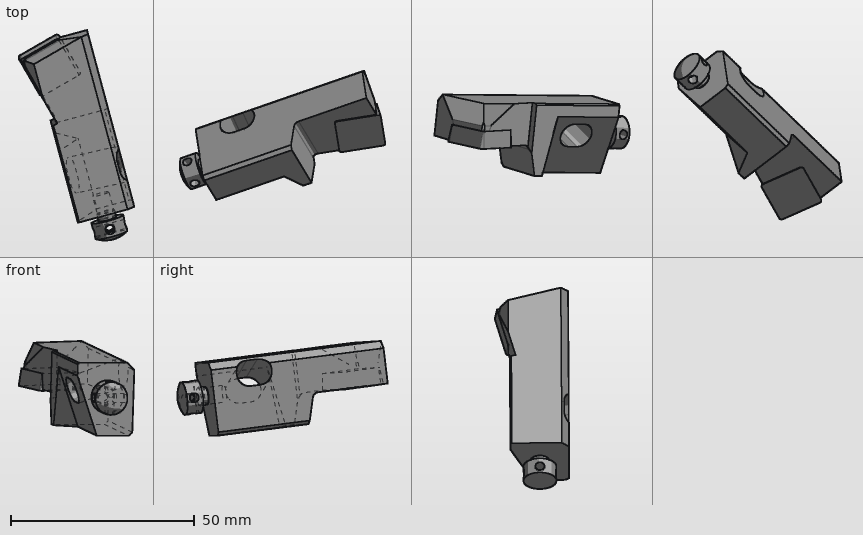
import cadquery as cq
import math



def tan_deg(angle):
    return math.tan(math.radians(angle))


def cos_deg(angle):
    return math.cos(math.radians(angle))


def sin_deg(angle):
    return math.sin(math.radians(angle))


pitch = 7.0
yaw = 15.0

width = 16.0
length = 49.0
height = 20.0
top_right_chamfer = 2.0
top_left_chamfer = 0.42
bottom_right_chamfer = 1.0
oversize = 60.0

head_bottom = 8.3
step_foot = 25.7
step_angle = 15.0
step_fillet = 1.5
step_top = step_foot + head_bottom * tan_deg(step_angle)

insert_turn = 15.0
insert_side = 12.7
insert_thickness = 4.76
insert_corner_radius = 0.8
insert_clearance = 7.0
insert_left = 8.1
insert_front = 46.3
insert_bottom = 8.0

left_flank_break_z = 14.3
front_flank_break_z = 14.2
left_flank_top = -0.39
left_flank_angle = 21.8
front_flank_top = 43.7
front_flank_angle = 14.5
nose_chamfer = 0.4
left_flank_break = left_flank_top - (height - left_flank_break_z) * tan_deg(left_flank_angle)
front_flank_break = front_flank_top + (height - front_flank_break_z) * tan_deg(front_flank_angle)
left_flank_foot = left_flank_break - (left_flank_break_z - head_bottom) * tan_deg(insert_clearance)
front_flank_foot = front_flank_break + (front_flank_break_z - head_bottom) * tan_deg(insert_clearance)

relief_wall = 8.7
relief_end = 26.45

recess_top = 16.43
recess_angle = 20.0
recess_length = 19.95
recess_end_foot = 23.25
recess_depth = recess_top * tan_deg(recess_angle)
slot_width = 7.0
slot_length = 10.0
slot_y = 12.0
slot_z = 11.0

screw_x = width / 2
screw_z = 11.0
collar_diameter = 5.0
collar_chamfer = 0.2
shank_depth = 5.0
head_diameter = 9.0
collar_length = 2.2
head_rim = 6.65
dome_height = 1.32
cross_hole_diameter = 2.5
cross_hole_distance = 4.65


def turn(shape):
    """Turn a shape from the insert axes onto the holder axes."""
    return shape.rotate((0, 0, 0), (0, 0, 1), insert_turn)


def make_block():
    """Block with the step under the head, its fillet and its long chamfers."""
    block = (
        cq.Workplane("YZ")
        .polyline([
            (0, 0),
            (step_foot, 0),
            (step_top, head_bottom),
            (length, head_bottom),
            (length, height),
            (0, height),
        ])
        .close()
        .extrude(width)
    )
    step_corner = cq.NearestToPointSelector((width / 2, step_top, head_bottom))
    block = block.edges(step_corner).fillet(step_fillet)
    block = block.edges(">X and >Z").chamfer(top_right_chamfer)
    block = block.edges("<X and >Z").chamfer(top_left_chamfer)
    return block.edges(">X and <Z").chamfer(bottom_right_chamfer)


def make_left_flank():
    """Part of the head that widens downwards past the left side of the block."""
    return (
        cq.Workplane("XZ", origin=(0, length, 0))
        .polyline([
            (top_right_chamfer, height),
            (left_flank_top, height),
            (left_flank_break, left_flank_break_z),
            (left_flank_foot, head_bottom),
            (top_right_chamfer, head_bottom),
        ])
        .close()
        .extrude(length - step_top)
    )


def make_front_cut():
    """Material ahead of the sloping front flank."""
    outline = (
        cq.Workplane("YZ", origin=(-oversize, 0, 0))
        .polyline([
            (front_flank_top, height),
            (front_flank_break, front_flank_break_z),
            (front_flank_foot, head_bottom),
            (front_flank_foot, 0),
            (front_flank_top + oversize, 0),
            (front_flank_top + oversize, height),
        ])
        .close()
    )
    return turn(outline.extrude(2 * oversize))


def make_nose_cut():
    """Sloping chamfer on the corner between the left and front flanks."""
    corner_x = left_flank_break
    corner_y = (front_flank_break + corner_x * sin_deg(insert_turn)) / cos_deg(insert_turn)
    heading = (180 + 90 + insert_turn) / 2
    half_turn = (180 - 90 - insert_turn) / 2
    inset = nose_chamfer * sin_deg(half_turn)
    face = cq.Plane(
        origin=(
            corner_x - inset * cos_deg(heading),
            corner_y - inset * sin_deg(heading),
            front_flank_break_z,
        ),
        xDir=(-sin_deg(heading), cos_deg(heading), 0),
        normal=(
            cos_deg(heading) * cos_deg(insert_clearance),
            sin_deg(heading) * cos_deg(insert_clearance),
            sin_deg(insert_clearance),
        ),
    )
    return cq.Workplane(face).rect(width, 2 * height).extrude(width)


def make_relief():
    """Corner cleared out of the left side, behind and along the insert."""
    relief = cq.Workplane("XY").box(oversize, oversize, height, centered=False)
    return turn(relief.translate((relief_wall - oversize, relief_end, 0)))


def make_recess():
    """Wedge with an inclined floor and a sloping triangular end."""
    rear_top = (0, 0, recess_top)
    rear_outer = (0, 0, 0)
    rear_inner = (recess_depth, 0, 0)
    end_top = (0, recess_length, recess_top)
    end_outer = (0, recess_end_foot, 0)
    end_inner = (recess_depth, recess_length, 0)
    rings = [
        (rear_top, rear_outer, rear_inner),
        (end_top, end_outer, end_inner),
        (rear_top, rear_outer, end_outer, end_top),
        (rear_outer, rear_inner, end_inner, end_outer),
        (rear_top, rear_inner, end_inner, end_top),
    ]
    faces = []
    for ring in rings:
        boundary = cq.Wire.makePolygon([cq.Vector(*point) for point in ring], close=True)
        faces.append(cq.Face.makeFromWires(boundary))
    return cq.Workplane(obj=cq.Solid.makeSolid(cq.Shell.makeShell(faces)))


def make_slot():
    """Slotted hole square to the recess floor, right through the holder."""
    floor_x = (recess_top - slot_z) * tan_deg(recess_angle)
    floor = cq.Plane(
        origin=(floor_x, slot_y, slot_z),
        xDir=(0, 1, 0),
        normal=(cos_deg(recess_angle), 0, sin_deg(recess_angle)),
    )
    return cq.Workplane(floor).slot2D(slot_length, slot_width).extrude(oversize, both=True)


def make_insert():
    """Square insert with rounded corners and flanks that taper upwards."""
    return turn(
        cq.Workplane("XY")
        .sketch()
        .rect(insert_side, insert_side)
        .vertices()
        .fillet(insert_corner_radius)
        .finalize()
        .extrude(insert_thickness, taper=insert_clearance)
        .translate((insert_left + insert_side / 2, insert_front - insert_side / 2, insert_bottom))
    )


def make_screw():
    """Domed screw with two crossed tommy-bar holes through its head."""
    collar_radius = collar_diameter / 2
    shank_radius = collar_radius - collar_chamfer
    head_radius = head_diameter / 2
    dome_radius = (head_radius**2 + dome_height**2) / (2 * dome_height)
    dome_centre = -head_rim - dome_height + dome_radius
    half_angle = math.degrees(math.asin(head_radius / dome_radius)) / 2
    screw = (
        cq.Workplane("XY")
        .moveTo(0, shank_depth)
        .lineTo(shank_radius, shank_depth)
        .lineTo(shank_radius, 0)
        .lineTo(collar_radius, -collar_chamfer)
        .lineTo(collar_radius, -collar_length)
        .lineTo(head_radius, -collar_length)
        .lineTo(head_radius, -head_rim)
        .threePointArc(
            (dome_radius * sin_deg(half_angle), dome_centre - dome_radius * cos_deg(half_angle)),
            (0, -head_rim - dome_height),
        )
        .close()
        .revolve(360, (0, 0, 0), (0, 1, 0))
    )
    for plane in ("XY", "YZ"):
        cross_hole = (
            cq.Workplane(plane, origin=(0, -cross_hole_distance, 0))
            .circle(cross_hole_diameter / 2)
            .extrude(head_diameter, both=True)
        )
        screw = screw.cut(cross_hole)
    return screw.translate((screw_x, 0, screw_z))


def make_holder(insert, screw):
    """Holder with seats that match the insert and the screw."""
    holder = make_block().union(make_left_flank())
    for cutter in (make_front_cut(), make_nose_cut(), make_relief(), make_recess(), make_slot()):
        holder = holder.cut(cutter)
    return holder.cut(insert).cut(screw)


def tilt(body):
    """Bring a body from the holder's frame into its mounted attitude."""
    pitched = body.rotate((0, 0, 0), (1, 0, 0), pitch)
    return pitched.rotate((0, 0, 0), (0, 0, 1), yaw)


insert = make_insert()
screw = make_screw()
holder = make_holder(insert, screw)

result = cq.Compound.makeCompound([
    *tilt(holder).solids().vals(),
    *tilt(insert).solids().vals(),
    *tilt(screw).solids().vals(),
])